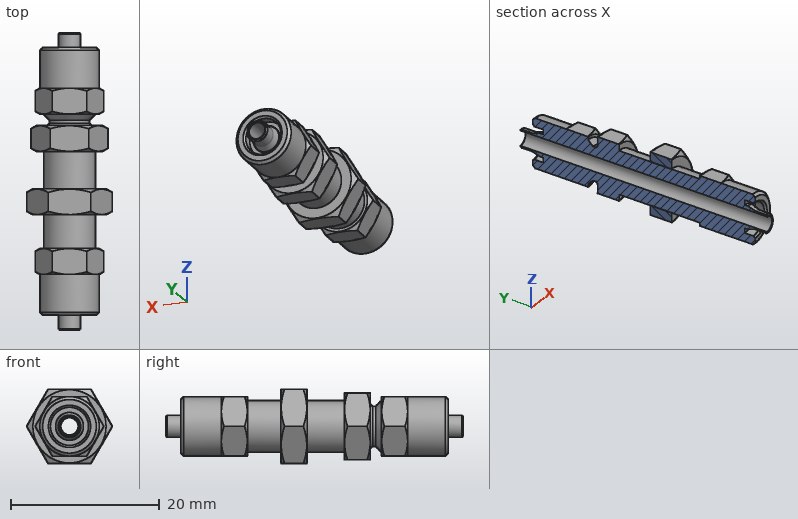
import cadquery as cq
import math

TOTAL_LENGTH = 40.0
STEM_TIP = TOTAL_LENGTH / 2

HEX_WIDTH = 3.5
CAP_HEX_FLATS = 8.0
SHOULDER_HEX_FLATS = 9.0
LOCKNUT_FLATS = 10.0
HEX_CHAMFER_ANGLE = 30.0
HEX_FACE_INSET = 0.1

CAP_SETBACK = 2.0
CAP_LENGTH = 9.0
CAP_RADIUS = CAP_HEX_FLATS / 2
CAP_CHAMFER = 0.4
SOCKET_RADIUS = 2.55
SOCKET_MOUTH_CHAMFER = 0.3
SOCKET_DEPTH = 1.7

STEM_DIAMETER = 3.0
STEM_RADIUS = STEM_DIAMETER / 2
STEM_BASE_RADIUS = 1.9
STEM_CONE_LENGTH = 1.2
STEM_TIP_CHAMFER = 0.2
BORE_RADIUS = 1.15
BORE_CHAMFER = 0.1

BARREL_DIAMETER = 7.0
BARREL_RADIUS = BARREL_DIAMETER / 2
NECK_RADIUS = 2.7
GROOVE_WIDTH = 1.5
NECK_FLARE = 0.3

LOCKNUT_START = -4.5

CAP_FACE = STEM_TIP - CAP_SETBACK
CAP_BACK = CAP_FACE - CAP_LENGTH
SHOULDER_END = CAP_BACK - GROOVE_WIDTH
SHOULDER_START = SHOULDER_END - HEX_WIDTH


def revolve_profile(points):
    """Turn a closed outline of (radius, y) points around the Y axis."""
    return cq.Workplane("XY").polyline(points).close().revolve(360, (0, 0, 0), (0, 1, 0))


def chamfered_hexagon(start, flats, start_face_radius, end_face_radius):
    """Hexagon bar along +Y from start, flats up and down, corners cut by a cone at each end."""
    corner_radius = flats / math.sqrt(3)
    slope = math.tan(math.radians(HEX_CHAMFER_ANGLE))
    end = start + HEX_WIDTH
    start_drop = (corner_radius - start_face_radius) * slope
    end_drop = (corner_radius - end_face_radius) * slope
    bar = (
        cq.Workplane("XZ", origin=(0, start, 0))
        .polygon(6, 2 * corner_radius)
        .extrude(-HEX_WIDTH)
    )
    envelope = revolve_profile([
        (0, start),
        (start_face_radius, start),
        (corner_radius, start + start_drop),
        (corner_radius, end - end_drop),
        (end_face_radius, end),
        (0, end),
    ])
    return bar.intersect(envelope)


def free_face_radius(flats):
    """Radius of the round end face on a hexagon."""
    return flats / 2 - HEX_FACE_INSET


def cap_at_far_end():
    """Cap at the +Y end: round sleeve with its hexagon."""
    sleeve = revolve_profile([
        (0, CAP_BACK + HEX_WIDTH),
        (CAP_RADIUS, CAP_BACK + HEX_WIDTH),
        (CAP_RADIUS, CAP_FACE - CAP_CHAMFER),
        (CAP_RADIUS - CAP_CHAMFER, CAP_FACE),
        (0, CAP_FACE),
    ])
    hexagon = chamfered_hexagon(CAP_BACK, CAP_HEX_FLATS, free_face_radius(CAP_HEX_FLATS), CAP_RADIUS)
    return sleeve.union(hexagon)


def socket_at_far_end():
    """Ring-shaped hose recess in the +Y cap, around the tapered root of the stem."""
    floor = CAP_FACE - SOCKET_DEPTH
    return revolve_profile([
        (STEM_BASE_RADIUS, floor),
        (SOCKET_RADIUS, floor),
        (SOCKET_RADIUS, CAP_FACE - SOCKET_MOUTH_CHAMFER),
        (SOCKET_RADIUS + SOCKET_MOUTH_CHAMFER, CAP_FACE),
        (STEM_RADIUS, CAP_FACE),
        (STEM_BASE_RADIUS, CAP_FACE - STEM_CONE_LENGTH),
    ])


def stem_tip_at_far_end():
    """Hose stem standing out of the +Y cap."""
    return revolve_profile([
        (0, CAP_FACE),
        (STEM_RADIUS, CAP_FACE),
        (STEM_RADIUS, STEM_TIP - STEM_TIP_CHAMFER),
        (STEM_RADIUS - STEM_TIP_CHAMFER, STEM_TIP),
        (0, STEM_TIP),
    ])


def barrel():
    """Round barrel between the caps, with the undercut neck next to the +Y cap."""
    cone_length = BARREL_RADIUS - NECK_RADIUS
    return revolve_profile([
        (0, -CAP_BACK),
        (BARREL_RADIUS, -CAP_BACK),
        (BARREL_RADIUS, SHOULDER_END),
        (NECK_RADIUS + NECK_FLARE, SHOULDER_END),
        (NECK_RADIUS, SHOULDER_END + NECK_FLARE),
        (NECK_RADIUS, CAP_BACK - cone_length),
        (BARREL_RADIUS, CAP_BACK),
        (0, CAP_BACK),
    ])


def through_bore():
    """Bore along the whole fitting, widened by a small chamfer at each stem tip."""
    mouth_radius = BORE_RADIUS + BORE_CHAMFER
    return revolve_profile([
        (0, -STEM_TIP),
        (mouth_radius, -STEM_TIP),
        (BORE_RADIUS, -STEM_TIP + BORE_CHAMFER),
        (BORE_RADIUS, STEM_TIP - BORE_CHAMFER),
        (mouth_radius, STEM_TIP),
        (0, STEM_TIP),
    ])


def make_fitting():
    """Bulkhead hose fitting with a cap and a stem at each end and one through bore."""
    end_piece = cap_at_far_end().cut(socket_at_far_end()).union(stem_tip_at_far_end())
    shoulder_face = free_face_radius(SHOULDER_HEX_FLATS)
    shoulder = chamfered_hexagon(SHOULDER_START, SHOULDER_HEX_FLATS, shoulder_face, shoulder_face)
    return barrel().union(shoulder).union(end_piece).union(end_piece.mirror("XZ")).cut(through_bore())


def make_locknut():
    """Hexagon locknut that fits on the barrel."""
    face = free_face_radius(LOCKNUT_FLATS)
    hole = (
        cq.Workplane("XZ", origin=(0, LOCKNUT_START, 0)).circle(BARREL_RADIUS).extrude(-HEX_WIDTH)
    )
    return chamfered_hexagon(LOCKNUT_START, LOCKNUT_FLATS, face, face).cut(hole)


fitting = make_fitting()
locknut = make_locknut()
result = cq.Compound.makeCompound([fitting.val(), locknut.val()])